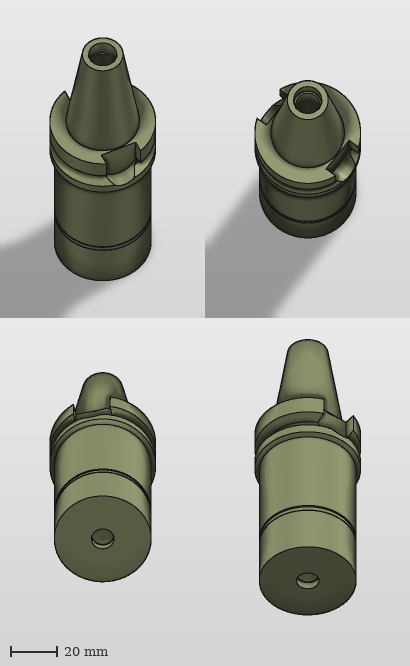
import cadquery as cq


total_height = 138.4
gauge_height = 90.0
flange_top = 89.1
groove_top = 80.4
flange_bottom = 68.2
body_bottom = 25.2
ring_top = 24.5
nut_height = 22.4
nut_lip = 4.2

taper_top_radius = 8.9
gauge_radius = 15.9
flange_radius = 23.0
groove_floor_radius = 19.1
body_radius = 21.0
ring_radius = 20.9
neck_radius = 16.0

groove_wall_height = 2.2
groove_floor_height = 3.5
groove_floor_top = groove_top - groove_wall_height
groove_floor_bottom = groove_floor_top - groove_floor_height
groove_bottom = groove_floor_bottom - groove_wall_height

flange_chamfer_height = 1.2
flange_chamfer_bottom = flange_bottom - flange_chamfer_height

mouth_radius = 6.1
mouth_depth = 7.2
bore_radius = 5.3
nut_hole_radius = 4.8

slot_half_width = 8.2
slot_floor_distance = 16.3
slot_bottom = 71.1
slot_arc_height = slot_bottom + slot_half_width


def cylinder(radius, bottom, top):
    """Upright cylinder on the Z axis between two heights."""
    return cq.Workplane("XY").workplane(offset=bottom).circle(radius).extrude(top - bottom)


def make_drive_slot():
    """Round-bottomed slot on the +X side, open at the flange top."""
    return (
        cq.Workplane("YZ", origin=(slot_floor_distance, 0, 0))
        .moveTo(-slot_half_width, flange_top)
        .lineTo(-slot_half_width, slot_arc_height)
        .threePointArc((0, slot_bottom), (slot_half_width, slot_arc_height))
        .lineTo(slot_half_width, flange_top)
        .close()
        .extrude(flange_radius)
    )


def make_holder():
    """Taper, grooved flange, body and neck turned as one piece, bored and slotted."""
    profile = [
        (0, total_height),
        (taper_top_radius, total_height),
        (gauge_radius, gauge_height),
        (gauge_radius, flange_top),
        (flange_radius, flange_top),
        (flange_radius, groove_top),
        (groove_floor_radius, groove_floor_top),
        (groove_floor_radius, groove_floor_bottom),
        (flange_radius, groove_bottom),
        (flange_radius, flange_bottom),
        (body_radius, flange_chamfer_bottom),
        (body_radius, body_bottom),
        (neck_radius, body_bottom),
        (neck_radius, nut_lip),
        (0, nut_lip),
    ]
    holder = cq.Workplane("XZ").polyline(profile).close().revolve(360, (0, 0, 0), (0, 1, 0))

    mouth = cylinder(mouth_radius, total_height - mouth_depth, total_height)
    bore = cylinder(bore_radius, nut_lip, total_height)
    holder = holder.cut(mouth).cut(bore)

    for angle in (0, 180):
        holder = holder.cut(make_drive_slot().rotate((0, 0, 0), (0, 0, 1), angle))
    return holder


def make_spacer_ring():
    """Plain ring around the neck, resting on the nut just clear of the body."""
    return cylinder(ring_radius, nut_height, ring_top).cut(cylinder(neck_radius, nut_height, ring_top))


def make_cap_nut():
    """Nut enclosing the neck, with a lip below it and a hole through the lip."""
    nut = cylinder(body_radius, 0, nut_height)
    neck_recess = cylinder(neck_radius, nut_lip, nut_height)
    lip_hole = cylinder(nut_hole_radius, 0, nut_lip)
    return nut.cut(neck_recess).cut(lip_hole)


holder = make_holder()
spacer_ring = make_spacer_ring()
cap_nut = make_cap_nut()

result = cq.Compound.makeCompound([holder.val(), spacer_ring.val(), cap_nut.val()])